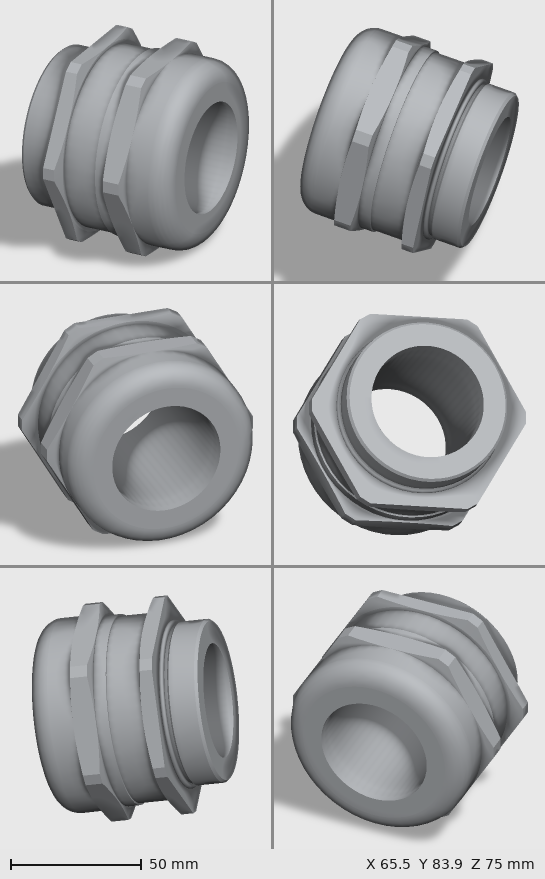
import cadquery as cq
import math

across_flats = 75.0
across_corners = 83.9
bore_diameter = 44.0

thread_diameter = 63.0
neck_diameter = 61.15
thread_end = 12.0
lead_in_length = 1.1
runout_length = 0.75

ring_diameter = 65.0
ring_start = 13.2

hex_start = 15.0
hex_end = 21.1
sleeve_diameter = 72.0
sleeve_end = 34.65
collar_diameter = 73.5

nut_start = 39.5
nut_end = 48.6
cap_diameter = across_flats
cap_end = 65.5
cap_round = 7.8

body_bevel = 1.35
nut_bevel = 1.2


def cylinder(start, end, diameter):
    return cq.Workplane("YZ", origin=(start, 0, 0)).circle(diameter / 2).extrude(end - start)


def hexagon(start, end, bevel, bevel_start=False):
    """Hexagon with flats facing +-Z, cut-off corners and conically bevelled ends."""
    length = end - start
    plane = cq.Workplane("YZ", origin=(start, 0, 0))
    flats = plane.polygon(6, across_flats / math.cos(math.pi / 6)).extrude(length)
    corner_flats = (
        plane.transformed(rotate=(0, 0, 30))
        .polygon(6, across_corners / math.cos(math.pi / 6))
        .extrude(length)
    )

    inner_radius = across_flats / 2
    blank_radius = across_corners / 2 / math.cos(math.pi / 6)
    cone_length = bevel * (blank_radius - inner_radius) / (across_corners / 2 - inner_radius)
    profile = cq.Workplane("XY").moveTo(start, 0)
    if bevel_start:
        profile = profile.lineTo(start, inner_radius).lineTo(start + cone_length, blank_radius)
    else:
        profile = profile.lineTo(start, blank_radius)
    envelope = (
        profile.lineTo(end - cone_length, blank_radius)
        .lineTo(end, inner_radius)
        .lineTo(end, 0)
        .close()
        .revolve(360, (0, 0, 0), (1, 0, 0))
    )
    return flats.intersect(corner_flats).intersect(envelope)


def thread():
    depth = (thread_diameter - neck_diameter) / 2
    blank = cylinder(0, thread_end, thread_diameter)
    return blank.faces("<X").chamfer(lead_in_length, depth).faces(">X").chamfer(runout_length, depth)


def sealing_ring():
    """Flat ring whose rim is a half circle."""
    half_width = (hex_start - ring_start) / 2
    shoulder_radius = ring_diameter / 2 - half_width
    return (
        cq.Workplane("XY")
        .moveTo(ring_start, 0)
        .lineTo(ring_start, shoulder_radius)
        .threePointArc((ring_start + half_width, ring_diameter / 2), (hex_start, shoulder_radius))
        .lineTo(hex_start, 0)
        .close()
        .revolve(360, (0, 0, 0), (1, 0, 0))
    )


def cap():
    return cylinder(nut_end, cap_end, cap_diameter).faces(">X").edges().fillet(cap_round)


result = (
    thread()
    .union(cylinder(thread_end, ring_start, neck_diameter))
    .union(sealing_ring())
    .union(hexagon(hex_start, hex_end, body_bevel))
    .union(cylinder(hex_end, sleeve_end, sleeve_diameter))
    .union(cylinder(sleeve_end, nut_start, collar_diameter))
    .union(hexagon(nut_start, nut_end, nut_bevel, bevel_start=True))
    .union(cap())
    .cut(cylinder(0, cap_end, bore_diameter))
)